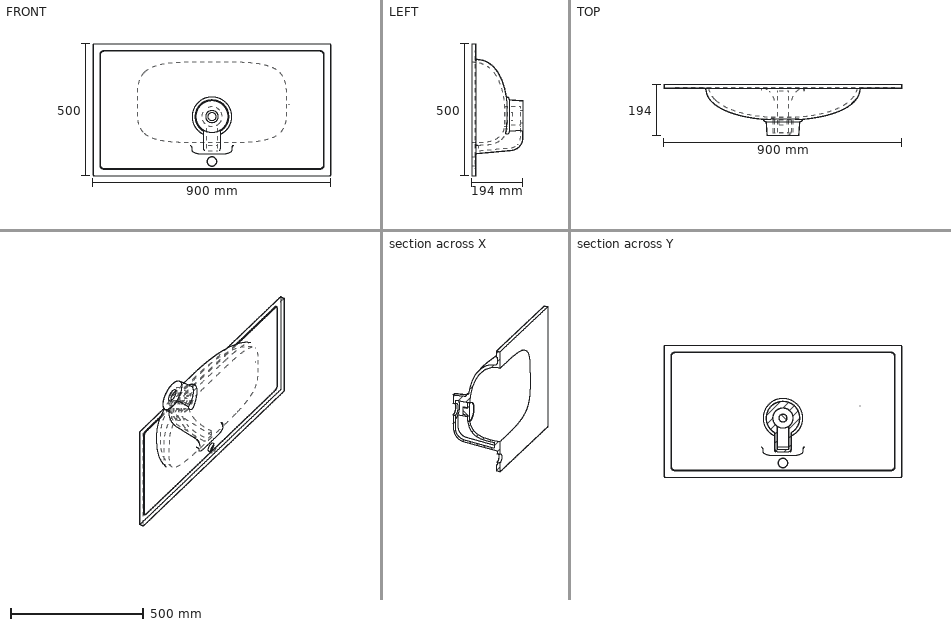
import cadquery as cq
import math


plate_width = 900.0
plate_height = 500.0
total_depth = 194.0
wall = 10.0

plate_thickness = 15.0
plate_corner_radius = 4.5
border_width = 25.0
recess_depth = 3.0
recess_taper = 45
recess_corner_radius = 16.0
tap_hole_diameter = 35.0
tap_hole_z = -195.0

bowl_half_width = 292.5
bowl_top_z = 192.0
bowl_bottom_z = -134.0
bowl_widest_z = 21.0
bowl_floor_y = -136.0
bowl_rim_fillet = 9.0
rim_squareness = 4.0
floor_squareness = 2.0
side_fullness = 2.2
top_fullness = 2.3
bottom_fullness = 3.2
section_count = 8
outline_points = 28
last_section_angle = 80

drain_z = -25.0
spigot_base_radius = 64.0
spigot_end_radius = 60.0
spigot_sink = 4.5
spigot_root_fillet = 11.0
bore_radius = 38.0
outlet_radius = 23.0

duct_half_width = 31.5
duct_foot_half_width = 76.0
duct_foot_end_y = -74.0
duct_foot_z = -166.5
duct_elbow_z = -150.0
duct_setback = 1.0
duct_elbow_radius = 49.0
duct_edge_radius = 15.0
duct_root_fillet = 13.5

plug_thickness = 10.0
plug_stem_radius = 15.0
plug_stem_length = 18.0

edge_margin = 1.0

plate_back_y = -plate_thickness
recess_y = plate_back_y + recess_depth
spigot_end_y = -total_depth
duct_end_y = spigot_end_y + duct_setback
bore_end_y = spigot_end_y + wall
bore_mouth_y = bowl_floor_y + wall
bore_start_y = bore_mouth_y + wall


def facing_back(y):
    """Workplane parallel to the plate at the given Y, with its normal toward -Y."""
    return cq.Workplane("XZ", origin=(0, y, 0))


def bowl_section(y, sink, half_width, top_z, bottom_z):
    """Closed outline of the bowl; sink is the depth as a part of the full depth."""
    def shrink(fullness):
        return (1 - sink**fullness) ** (1 / fullness)

    squareness = floor_squareness + (rim_squareness - floor_squareness) * (1 - sink)
    half_x = half_width * shrink(side_fullness)
    high_z = drain_z + (top_z - drain_z) * shrink(top_fullness)
    low_z = drain_z + (bottom_z - drain_z) * shrink(bottom_fullness)
    middle_z = drain_z + (bowl_widest_z - drain_z) * shrink(side_fullness)

    points = []
    for i in range(outline_points):
        angle = 2 * math.pi * i / outline_points
        across = math.cos(angle)
        up = math.sin(angle)
        half_z = high_z - middle_z if up > 0 else middle_z - low_z
        size = (abs(across) ** squareness + abs(up) ** squareness) ** (-1 / squareness)
        points.append(cq.Vector(half_x * size * across, y, middle_z + half_z * size * up))
    return cq.Wire.assembleEdges([cq.Edge.makeSpline(points, periodic=True)])


def bowl_form(start_y, floor_y, inset):
    """Solid bowl shape from start_y to floor_y, smaller all round by inset."""
    depth = floor_y - start_y
    sections = []
    for i in range(section_count):
        angle = math.radians(last_section_angle) * i / (section_count - 1)
        sink = math.sin(angle)
        sections.append(
            bowl_section(
                start_y + depth * sink,
                sink,
                bowl_half_width - inset,
                bowl_top_z - inset,
                bowl_bottom_z + inset,
            )
        )
    return cq.Workplane(cq.Solid.makeLoft(sections))


def make_plate():
    plate = (
        facing_back(0)
        .rect(plate_width, plate_height)
        .extrude(plate_thickness)
        .edges("|Y")
        .fillet(plate_corner_radius)
    )
    recess_outline = (
        cq.Sketch()
        .rect(plate_width - 2 * border_width, plate_height - 2 * border_width)
        .vertices()
        .fillet(recess_corner_radius)
    )
    recess = (
        facing_back(plate_back_y)
        .placeSketch(recess_outline)
        .extrude(-recess_depth, taper=recess_taper)
    )
    return plate.cut(recess)


def outer_bowl():
    return bowl_form(recess_y, bowl_floor_y, 0)


def make_spigot():
    """Tapered spigot whose root flares out into the bowl floor."""
    flare_end_y = bowl_floor_y - spigot_root_fillet + spigot_sink
    flare_start_y = bowl_floor_y + spigot_sink
    flare_radius = spigot_base_radius + spigot_root_fillet
    return (
        cq.Workplane("XY", origin=(0, 0, drain_z))
        .moveTo(0, bore_mouth_y)
        .lineTo(flare_radius, bore_mouth_y)
        .lineTo(flare_radius, flare_start_y)
        .radiusArc((spigot_base_radius, flare_end_y), spigot_root_fillet)
        .lineTo(spigot_end_radius, spigot_end_y)
        .lineTo(0, spigot_end_y)
        .close()
        .revolve(360, (0, 0, 0), (0, 1, 0))
    )


def duct_elbow(inset):
    """Side profile of the overflow duct, rounded at its elbow, as a wide block."""
    end_y = duct_end_y + inset
    return (
        cq.Workplane("YZ")
        .moveTo(recess_y, drain_z)
        .lineTo(recess_y, duct_foot_z + inset)
        .lineTo(end_y, duct_elbow_z + inset)
        .lineTo(end_y, drain_z)
        .close()
        .extrude(duct_foot_half_width, both=True)
        .edges("|X")
        .edges(cq.selectors.NearestToPointSelector((0, end_y, duct_elbow_z + inset)))
        .fillet(duct_elbow_radius - inset)
    )


def make_duct():
    outline = (
        cq.Workplane("XY", origin=(0, 0, drain_z))
        .moveTo(0, duct_end_y)
        .lineTo(duct_half_width, duct_end_y)
        .lineTo(duct_half_width, duct_foot_end_y)
        .tangentArcPoint((duct_foot_half_width, recess_y), relative=False)
        .lineTo(0, recess_y)
        .mirrorY()
        .extrude(duct_foot_z - drain_z)
    )
    duct = duct_elbow(0).intersect(outline)
    outer_edges = duct.faces("<Z").edges("not(|X)")
    return outer_edges.fillet(duct_edge_radius)


def duct_passage():
    """Passage inside the duct, outside the bowl, that opens into the drain bore."""
    passage_width = 2 * (duct_half_width - wall)
    passage_start_y = plate_back_y - wall
    passage_height = drain_z - duct_foot_z
    clip = cq.Workplane("XY").box(
        passage_width,
        passage_start_y - bore_end_y,
        passage_height,
        centered=(True, False, False),
    )
    clip = clip.translate((0, bore_end_y, duct_foot_z))
    return duct_elbow(wall).intersect(clip).cut(outer_bowl())


def duct_joint():
    """Selects the edges along both flanks of the duct where it meets the bowl."""
    return cq.selectors.BoxSelector(
        (-duct_foot_half_width, bowl_floor_y, bowl_bottom_z),
        (duct_foot_half_width, plate_back_y, bowl_bottom_z + duct_elbow_radius),
    )


def rim_joint():
    """Selects the edges where the bowl meets the plate, on either side of the duct."""
    return cq.selectors.BoxSelector(
        (-bowl_half_width, recess_y - edge_margin, bowl_bottom_z),
        (bowl_half_width, recess_y + edge_margin, bowl_top_z),
    )


def make_basin():
    bowl = outer_bowl().union(make_duct())
    bowl = bowl.edges(duct_joint()).edges("%BSPLINE").fillet(duct_root_fillet)
    bowl = bowl.union(make_spigot())
    basin = make_plate().union(bowl)
    basin = basin.edges(rim_joint()).edges("%BSPLINE").fillet(bowl_rim_fillet)

    bowl_hollow = bowl_form(0, bore_mouth_y, wall)
    bore = (
        facing_back(bore_start_y)
        .center(0, drain_z)
        .circle(bore_radius)
        .extrude(bore_start_y - bore_end_y)
    )
    outlet = (
        facing_back(bore_end_y).center(0, drain_z).circle(outlet_radius).extrude(2 * wall)
    )
    tap_hole = (
        facing_back(0).center(0, tap_hole_z).circle(tap_hole_diameter / 2).extrude(plate_thickness)
    )
    for hollow in (bowl_hollow, bore, outlet, tap_hole, duct_passage()):
        basin = basin.cut(hollow)
    return basin


def make_drain_plug():
    """Disc that fills the mouth of the bore, with a stem down the middle."""
    return (
        facing_back(bore_mouth_y)
        .center(0, drain_z)
        .circle(bore_radius)
        .extrude(plug_thickness)
        .faces("<Y")
        .workplane()
        .circle(plug_stem_radius)
        .extrude(plug_stem_length)
    )


basin = make_basin()
drain_plug = make_drain_plug()
result = cq.Compound.makeCompound([basin.val(), drain_plug.val()])